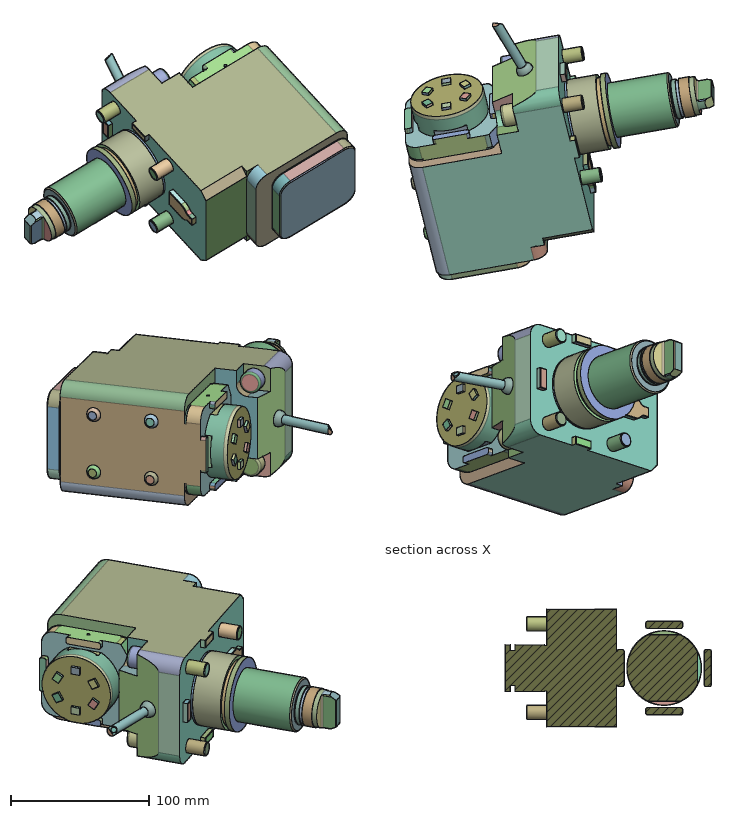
import cadquery as cq
import math


HALF_HEIGHT = 42.5
LOWER_LEFT = -49.0
LOWER_RIGHT = 76.6
LOWER_TOP = 50.7
UPPER_LEFT = -7.3
UPPER_RIGHT = 87.7
UPPER_BOTTOM = 36.8
UPPER_TOP = 119.2
CORNER_RADIUS = 10.0
RIGHT_CHAMFER = 6.0
SLOPE_START = 16.5
SLOPE_ANGLE = math.radians(15)

BOLT_OFFSET = 32.0
BOLT_DIAMETER = 10.5
BOLT_TIP = -14.6
BOLT_TIP_CHAMFER = 0.6
BOLT_HEAD_DIAMETER = 16.0
BOLT_HEAD_LENGTH = 10.0
BOLT_HEAD_ROUND = 1.6
POCKET_FLOOR = 35.0
POCKET_RADIUS = 8.5

PLATE_SEAM_LENGTH = 1.3
PLATE_SEAM_RADIUS = 11.0
COVER_SEAM_LENGTH = 0.7
COVER_SEAM_INSET = 0.4

SPINDLE_Y = 85.0
PLATE_HALF_SIDE = 33.9
PLATE_FACE = -19.5
PLATE_CHAMFER_START = 57.7
PLATE_CHAMFER_HALF = 22.7
TAB_FACE = -23.6
TAB_LENGTH = 27.0
TAB_DEPTH = 5.4
TAB_CORNER = 1.8
DISC_DIAMETER = 54.0
DISC_FACE = -37.4
DISC_RIM_LENGTH = 2.7
DISC_RIM_DROP = 0.4
DISC_FLAT_START = -24.8
DISC_FLAT_OFFSET = 24.1
KEY_COUNT = 6
KEY_CIRCLE_RADIUS = 16.1
KEY_WIDTH = 6.6
KEY_HEIGHT = 5.6
KEY_LENGTH = 2.1
PIN_HOLE_X = -13.7
PIN_HOLE_DIAMETER = 2.1
PIN_HOLE_DEPTH = 3.0

COVER_FACE = 98.0
COVER_EDGE = 0.8

BUTTON_X = (18.0, 62.0)
BUTTON_Z = 22.0
BUTTON_DIAMETER = 10.5
BUTTON_TOP_DIAMETER = 6.37
BUTTON_BULGE = 0.5
BUTTON_TOP = 122.3

SHANK_END_Y = -75.0
SHANK_END_CHAMFER = 1.0
SHANK_STEPS = (
    (54.6 / 2, -1.5),
    (55.0 / 2, -23.0),
    (50.2 / 2, -26.2),
    (55.0 / 2, -30.0),
    (40.0 / 2, SHANK_END_Y),
    (28.0 / 2, -75.8),
    (29.0 / 2, -79.0),
    (27.0 / 2, -81.2),
    (29.0 / 2, -88.9),
    (28.0 / 2, -92.6),
)

TONGUE_DIAMETER = 28.0
TONGUE_WIDTH = 8.2
TONGUE_TIP = -104.0
TONGUE_TAPER_START = -98.2
TONGUE_TAPER_ANGLE = math.radians(30)
TONGUE_EDGE = 1.2
TONGUE_TIP_CHAMFER = 0.6
TONGUE_ROOT_RADIUS = 1.2

LOCATOR_DEPTH = 3.9
LOCATOR_LENGTH = 15.4
LOCATOR_WIDTH = 6.1
LOCATOR_EDGE = 0.4
SIDE_LOCATOR_X = -39.6
SIDE_LOCATOR_WIDTH = 6.3
NOSE_LEFT = 37.0
NOSE_SHOULDER = (14.4, 7.7)
NOSE_SHOULDER_MIDDLE = (18.0, 6.9)
NOSE_BEND = (20.2, 5.2)
NOSE_NECK_MIDDLE = (21.6, 4.1)
NOSE_NECK = (23.4, 3.7)
NOSE_LENGTH = 27.5

BALL_DIAMETER = 12.4
BALL_Y = 25.1
TUBE_DIAMETER = 7.0
TUBE_LENGTH = 45.67
TUBE_BEVEL_ANGLE = 45.0
TUBE_ROLL_ANGLE = 45.0
TUBE_OUTLET_DIAMETER = 4.0
TUBE_OUTLET_DEPTH = 3.0


def block(x_range, y_range, z_range):
    """Box spanning the given ranges."""
    size = [high - low for low, high in (x_range, y_range, z_range)]
    corner = (x_range[0], y_range[0], z_range[0])
    return cq.Workplane("XY").box(*size, centered=False).translate(corner)


def rod(diameter, x, z, y_start, y_end):
    """Cylinder parallel to Y."""
    low = min(y_start, y_end)
    length = abs(y_end - y_start)
    solid = cq.Solid.makeCylinder(diameter / 2, length, cq.Vector(x, low, z), cq.Vector(0, 1, 0))
    return cq.Workplane(obj=solid)


def make_housing():
    z_range = (-HALF_HEIGHT, HALF_HEIGHT)
    upper = block((UPPER_LEFT, UPPER_RIGHT), (UPPER_BOTTOM, UPPER_TOP), z_range)
    upper = upper.edges("|X").fillet(CORNER_RADIUS)
    middle = block((LOWER_LEFT, LOWER_RIGHT), (UPPER_BOTTOM, LOWER_TOP), z_range)
    lower = block((LOWER_LEFT, LOWER_RIGHT), (0, UPPER_BOTTOM), z_range)
    lower = lower.edges("|Y and >X").chamfer(RIGHT_CHAMFER)
    lower = lower.edges("|Y and <X").fillet(CORNER_RADIUS)
    slope_run = (LOWER_TOP - SLOPE_START) * math.tan(SLOPE_ANGLE)
    slope = (
        cq.Workplane("XY")
        .polyline([
            (LOWER_LEFT, SLOPE_START),
            (LOWER_LEFT + slope_run, LOWER_TOP),
            (LOWER_LEFT, LOWER_TOP),
        ])
        .close()
        .extrude(HALF_HEIGHT, both=True)
    )
    housing = upper.union(middle).union(lower).cut(slope)
    pocket_inner = BOLT_OFFSET - POCKET_RADIUS
    for side in (1, -1):
        z_pocket = sorted((side * pocket_inner, side * HALF_HEIGHT))
        pocket = block((LOWER_LEFT, -pocket_inner), (POCKET_FLOOR, LOWER_TOP), z_pocket)
        inner_edge = ">X and <Z" if side > 0 else ">X and >Z"
        housing = housing.cut(pocket.edges("|Y").edges(inner_edge).fillet(POCKET_RADIUS))
    return housing


def make_bolts():
    bolts = cq.Workplane("XY")
    for x in (-BOLT_OFFSET, BOLT_OFFSET):
        for z in (-BOLT_OFFSET, BOLT_OFFSET):
            bolts = bolts.union(rod(BOLT_DIAMETER, x, z, BOLT_TIP, 0).faces("<Y").chamfer(BOLT_TIP_CHAMFER))
    for z in (-BOLT_OFFSET, BOLT_OFFSET):
        head = rod(BOLT_HEAD_DIAMETER, -BOLT_OFFSET, z, POCKET_FLOOR, POCKET_FLOOR + BOLT_HEAD_LENGTH)
        bolts = bolts.union(head.faces(">Y").edges().fillet(BOLT_HEAD_ROUND))
    return bolts


def make_spindle_plate():
    """Plate with rounded corners; the lower corners run from the round into a slant."""
    half = PLATE_HALF_SIDE
    seam_x = UPPER_LEFT - PLATE_SEAM_LENGTH
    slab = block((PLATE_FACE, seam_x), (LOWER_TOP, UPPER_TOP), (-half, half))
    slab = slab.edges("|X").fillet(CORNER_RADIUS)
    seat = block((seam_x, UPPER_LEFT), (LOWER_TOP, UPPER_TOP), (-half, half))
    slab = slab.union(seat.edges("|X").fillet(PLATE_SEAM_RADIUS))
    wedge_profile = [
        (LOWER_TOP, PLATE_CHAMFER_HALF),
        (PLATE_CHAMFER_START, half),
        (LOWER_TOP, half),
    ]
    wedge = cq.Workplane("YZ").polyline(wedge_profile).close().extrude(UPPER_LEFT - PLATE_FACE)
    wedge = wedge.translate((PLATE_FACE, 0, 0))
    plate = slab.cut(wedge).cut(wedge.mirror("XY"))
    hole = cq.Workplane("XY", origin=(PIN_HOLE_X, SPINDLE_Y, half)).circle(PIN_HOLE_DIAMETER / 2)
    return plate.cut(hole.extrude(-PIN_HOLE_DEPTH))


def make_tabs():
    """Four tabs round the plate face, each with rounded corners."""
    outer = UPPER_TOP - SPINDLE_Y
    z_outer = PLATE_HALF_SIDE
    tabs = cq.Workplane("XY")
    for angle, reach in ((0, outer), (90, z_outer), (180, outer), (270, z_outer)):
        tab = block((TAB_FACE, PLATE_FACE), (reach - TAB_DEPTH, reach), (-TAB_LENGTH / 2, TAB_LENGTH / 2))
        tab = tab.edges("|X").fillet(TAB_CORNER)
        tabs = tabs.union(tab.rotate((0, 0, 0), (1, 0, 0), angle))
    return tabs.translate((0, SPINDLE_Y, 0))


def make_disc():
    radius = DISC_DIAMETER / 2
    disc = (
        cq.Workplane("XY")
        .moveTo(DISC_FACE, 0)
        .lineTo(PLATE_FACE, 0)
        .lineTo(PLATE_FACE, radius)
        .lineTo(DISC_FACE + DISC_RIM_LENGTH, radius)
        .lineTo(DISC_FACE, radius - DISC_RIM_DROP)
        .close()
        .revolve(360, (0, 0, 0), (1, 0, 0))
    )
    relief = block((DISC_FLAT_START, PLATE_FACE), (DISC_FLAT_OFFSET, radius), (-radius, radius))
    for angle in (0, 90, 270):
        disc = disc.cut(relief.rotate((0, 0, 0), (1, 0, 0), angle))
    key = cq.Workplane("XY").box(KEY_LENGTH, KEY_WIDTH, KEY_HEIGHT)
    key = key.translate((DISC_FACE - KEY_LENGTH / 2, 0, KEY_CIRCLE_RADIUS))
    for index in range(KEY_COUNT):
        disc = disc.union(key.rotate((0, 0, 0), (1, 0, 0), index * 360 / KEY_COUNT))
    return disc.translate((0, SPINDLE_Y, 0))


def make_cover():
    half = PLATE_HALF_SIDE
    low = 2 * SPINDLE_Y - UPPER_TOP
    cover = block((UPPER_RIGHT + COVER_SEAM_LENGTH, COVER_FACE), (low, UPPER_TOP), (-half, half))
    cover = cover.edges("|X").fillet(CORNER_RADIUS).faces(">X").edges().chamfer(COVER_EDGE)
    inset = COVER_SEAM_INSET
    seat = block(
        (UPPER_RIGHT, UPPER_RIGHT + COVER_SEAM_LENGTH),
        (low + inset, UPPER_TOP - inset),
        (-half + inset, half - inset),
    )
    return cover.union(seat.edges("|X").fillet(CORNER_RADIUS - inset))


def make_buttons():
    """Domed screw heads with a flat top."""
    foot = BUTTON_DIAMETER / 2
    crown = BUTTON_TOP_DIAMETER / 2
    height = BUTTON_TOP - UPPER_TOP
    head = (
        cq.Workplane("XY")
        .lineTo(foot, 0)
        .sagittaArc((crown, height), -BUTTON_BULGE)
        .lineTo(0, height)
        .close()
        .revolve(360, (0, 0, 0), (0, 1, 0))
    )
    buttons = cq.Workplane("XY")
    for x in BUTTON_X:
        for z in (-BUTTON_Z, BUTTON_Z):
            buttons = buttons.union(head.translate((x, UPPER_TOP, z)))
    return buttons


def make_shank():
    profile = cq.Workplane("XY").moveTo(0, 0)
    y_start = 0
    for radius, y_end in SHANK_STEPS:
        profile = profile.lineTo(radius, y_start)
        if y_end == SHANK_END_Y:
            profile = profile.lineTo(radius, y_end + SHANK_END_CHAMFER)
            radius -= SHANK_END_CHAMFER
        profile = profile.lineTo(radius, y_end)
        y_start = y_end
    return profile.lineTo(0, y_start).close().revolve(360, (0, 0, 0), (0, 1, 0))


def make_tongue():
    """Slab with filleted roots, trimmed to the shank end diameter and tapered towards its tip."""
    root = SHANK_STEPS[-1][1]
    radius = TONGUE_DIAMETER / 2
    tip_half = radius - (TONGUE_TAPER_START - TONGUE_TIP) * math.tan(TONGUE_TAPER_ANGLE)
    half_width = TONGUE_WIDTH / 2
    slab = (
        cq.Workplane("YZ")
        .polyline([
            (root, -radius),
            (TONGUE_TAPER_START, -radius),
            (TONGUE_TIP, -tip_half),
            (TONGUE_TIP, tip_half),
            (TONGUE_TAPER_START, radius),
            (root, radius),
        ])
        .close()
        .extrude(half_width, both=True)
    )
    slab = slab.faces("<Y").edges("|Z").chamfer(TONGUE_TIP_CHAMFER)
    slab = slab.edges("|Y").chamfer(TONGUE_EDGE)
    flare = half_width + TONGUE_ROOT_RADIUS
    fillet_end = root - TONGUE_ROOT_RADIUS
    roots = (
        cq.Workplane("XY")
        .moveTo(-flare, root)
        .radiusArc((-half_width, fillet_end), TONGUE_ROOT_RADIUS)
        .lineTo(half_width, fillet_end)
        .radiusArc((flare, root), TONGUE_ROOT_RADIUS)
        .close()
        .extrude(radius, both=True)
    )
    return slab.union(roots).intersect(rod(TONGUE_DIAMETER, 0, 0, TONGUE_TIP, root))


def make_locators():
    """Keys at the top, bottom and left of the mounting face, and a nosed key at the right."""
    depth = (-LOCATOR_DEPTH, 0)
    half = LOCATOR_LENGTH / 2
    side_half = SIDE_LOCATOR_WIDTH / 2
    locators = block((SIDE_LOCATOR_X - side_half, SIDE_LOCATOR_X + side_half), depth, (-half, half))
    locators = locators.faces("<Y").edges().chamfer(LOCATOR_EDGE)
    inner = HALF_HEIGHT - LOCATOR_WIDTH
    top_key = block((-half, half), depth, (inner, HALF_HEIGHT)).faces("<Y").edges().chamfer(LOCATOR_EDGE)
    neck_half = NOSE_NECK[1]
    nose_half = (
        cq.Workplane("XZ")
        .lineTo(0, NOSE_SHOULDER[1])
        .lineTo(*NOSE_SHOULDER)
        .threePointArc(NOSE_SHOULDER_MIDDLE, NOSE_BEND)
        .threePointArc(NOSE_NECK_MIDDLE, NOSE_NECK)
        .lineTo(NOSE_LENGTH, neck_half)
        .lineTo(NOSE_LENGTH, 0)
        .close()
        .extrude(LOCATOR_DEPTH)
    )
    nose = nose_half.union(nose_half.mirror("XY")).clean()
    nose = nose.faces("<Y").edges().chamfer(LOCATOR_EDGE).translate((NOSE_LEFT, 0, 0))
    return locators.union(top_key).union(top_key.mirror("XY")).union(nose)


def make_coolant_tube():
    """Tube square to the sloped face, swivelled on a ball, with a bevelled outlet."""
    ball_x = LOWER_LEFT + (BALL_Y - SLOPE_START) * math.tan(SLOPE_ANGLE)
    radius = TUBE_DIAMETER / 2
    tube = cq.Workplane("YZ").circle(radius).extrude(-TUBE_LENGTH)
    bevel = (
        cq.Workplane("XY", origin=(-TUBE_LENGTH, 0, 0))
        .transformed(rotate=(0, -TUBE_BEVEL_ANGLE, 0))
    )
    tube = tube.cut(bevel.rect(4 * radius, 4 * radius).extrude(2 * radius))
    outlet = (
        bevel.center(radius / 2 / math.cos(math.radians(TUBE_BEVEL_ANGLE)), 0)
        .circle(TUBE_OUTLET_DIAMETER / 2)
        .extrude(-TUBE_OUTLET_DEPTH)
    )
    tube = tube.cut(outlet)
    tube = tube.rotate((0, 0, 0), (1, 0, 0), TUBE_ROLL_ANGLE)
    ball = cq.Workplane("XY").sphere(BALL_DIAMETER / 2)
    joint = tube.union(ball).rotate((0, 0, 0), (0, 0, 1), -math.degrees(SLOPE_ANGLE))
    return joint.translate((ball_x, BALL_Y, 0))


result = make_housing()
for feature in (
    make_bolts(),
    make_spindle_plate(),
    make_tabs(),
    make_disc(),
    make_cover(),
    make_buttons(),
    make_shank(),
    make_tongue(),
    make_locators(),
    make_coolant_tube(),
):
    result = result.union(feature)